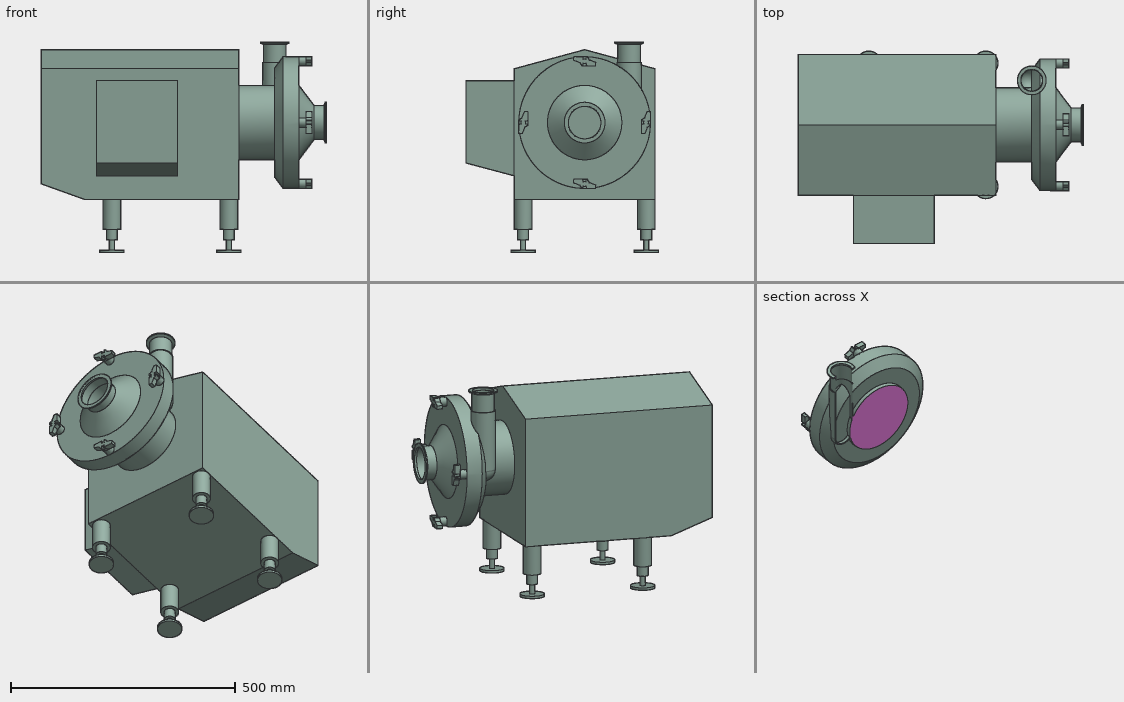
import cadquery as cq


total_length = 636.0
total_height = 470.0
shaft_height = 290.0

cabinet_length = 441.0
cabinet_width = 314.0
cabinet_bottom = 118.0
eave_height = 410.0
ridge_height = 453.0
rear_slope_length = 97.0
rear_slope_height = 35.0

box_start = 123.5
box_length = 180.5
box_depth = 107.5
box_top = 383.5
box_bottom_outer = 200.0
box_bottom_inner = 171.0

leg_steps = [(40.0, 52.0), (25.0, 28.5), (12.0, 6.0), (55.0, 0.0)]
rear_leg_x = 158.0
leg_spacing_x = 261.0
leg_offset_y = 137.5

adapter_diameter = 166.0
casing_diameter = 294.0
casing_back_diameter = 244.0
casing_back = 521.0
casing_shoulder = 539.5
casing_face = 575.0
cone_end = 608.5

inlet_diameter = 76.5
inlet_bore = 72.5
inlet_flange_diameter = 91.0
outlet_diameter = 51.0
outlet_sleeve_diameter = 55.0
outlet_bore = 48.0
outlet_flange_diameter = 64.0
outlet_sleeve_top = 424.0
outlet_offset_y = 99.0
flange_rim = 2.85
flange_taper = 2.85

knob_count = 4
knob_circle_radius = 137.0
stem_diameter = 21.0
stem_length = 16.0
hub_diameter = 11.0
wing_thickness = 13.0
wing_reach = stem_diameter / 2
wing_outline = [
    (4.0, -wing_reach),
    (24.0, -wing_reach),
    (25.0, -2.5),
    (11.0, 3.0),
    (6.05, wing_reach),
    (3.0, wing_reach),
    (3.0, 0),
]


def make_cabinet():
    half_width = cabinet_width / 2
    gable = [
        (-half_width, cabinet_bottom),
        (half_width, cabinet_bottom),
        (half_width, eave_height),
        (0, ridge_height),
        (-half_width, eave_height),
    ]
    body = cq.Workplane("YZ").polyline(gable).close().extrude(cabinet_length)
    slope = [
        (0, cabinet_bottom),
        (rear_slope_length, cabinet_bottom),
        (0, cabinet_bottom + rear_slope_height),
    ]
    wedge = cq.Workplane("XZ").polyline(slope).close().extrude(half_width, both=True)
    return body.cut(wedge)


def make_control_box():
    wall_y = -cabinet_width / 2
    outer_y = wall_y - box_depth
    profile = [
        (0, box_bottom_inner),
        (wall_y, box_bottom_inner),
        (outer_y, box_bottom_outer),
        (outer_y, box_top),
        (0, box_top),
    ]
    side = cq.Workplane("YZ", origin=(box_start, 0, 0))
    return side.polyline(profile).close().extrude(box_length)


def make_leg(x, y):
    leg = cq.Workplane("XY")
    top = cabinet_bottom
    for diameter, bottom in leg_steps:
        step = cq.Workplane("XY", origin=(x, y, bottom)).circle(diameter / 2).extrude(top - bottom)
        leg = leg.union(step)
        top = bottom
    return leg


def make_casing():
    rim_start = total_length - flange_rim
    profile = [
        (cabinet_length, 0),
        (cabinet_length, adapter_diameter / 2),
        (casing_back, adapter_diameter / 2),
        (casing_back, casing_back_diameter / 2),
        (casing_shoulder, casing_diameter / 2),
        (casing_face, casing_diameter / 2),
        (casing_face, adapter_diameter / 2),
        (cone_end, inlet_diameter / 2),
        (rim_start - flange_taper, inlet_diameter / 2),
        (rim_start, inlet_flange_diameter / 2),
        (total_length, inlet_flange_diameter / 2),
        (total_length, inlet_bore / 2),
        (casing_face, inlet_bore / 2),
        (casing_face, 0),
    ]
    half_section = cq.Workplane("XZ", origin=(0, 0, shaft_height)).polyline(profile).close()
    return half_section.revolve(360, (0, 0, 0), (1, 0, 0))


def make_outlet():
    rim_start = total_height - flange_rim
    bore_radius = outlet_bore / 2
    sleeve_radius = outlet_sleeve_diameter / 2
    half_section = (
        cq.Workplane("XZ", origin=(casing_back, outlet_offset_y, 0))
        .moveTo(0, shaft_height - sleeve_radius)
        .radiusArc((sleeve_radius, shaft_height), -sleeve_radius)
        .lineTo(sleeve_radius, outlet_sleeve_top)
        .lineTo(outlet_diameter / 2, outlet_sleeve_top)
        .lineTo(outlet_diameter / 2, rim_start - flange_taper)
        .lineTo(outlet_flange_diameter / 2, rim_start)
        .lineTo(outlet_flange_diameter / 2, total_height)
        .lineTo(bore_radius, total_height)
        .lineTo(bore_radius, shaft_height)
        .radiusArc((0, shaft_height - bore_radius), bore_radius)
        .close()
    )
    return half_section.revolve(360, (0, 0, 0), (0, 1, 0))


def make_knob(angle):
    knob_height = shaft_height + knob_circle_radius
    base = cq.Workplane("YZ", origin=(casing_face, 0, knob_height))
    front = cq.Workplane("YZ", origin=(casing_face + stem_length, 0, knob_height))
    knob = base.circle(stem_diameter / 2).extrude(stem_length)
    knob = knob.union(front.circle(hub_diameter / 2).extrude(wing_thickness))
    for side in (1, -1):
        outline = [(side * across, side * outward) for across, outward in wing_outline]
        knob = knob.union(front.polyline(outline).close().extrude(wing_thickness))
    return knob.rotate((0, 0, shaft_height), (1, 0, shaft_height), angle)


result = make_cabinet().union(make_control_box())
for leg_x in (rear_leg_x, rear_leg_x + leg_spacing_x):
    for leg_y in (-leg_offset_y, leg_offset_y):
        result = result.union(make_leg(leg_x, leg_y))
result = result.union(make_casing()).union(make_outlet())
for index in range(knob_count):
    result = result.union(make_knob(index * 360 / knob_count))